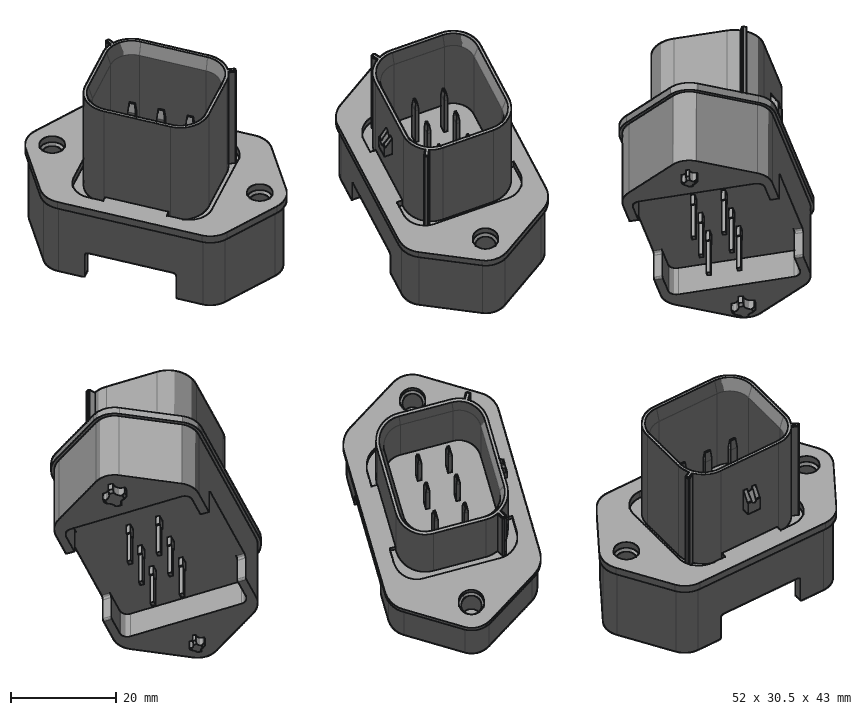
import cadquery as cq

flange_bottom = 16.35
flange_top = 18.0
tower_top = 39.55
pin_bottom = -3.45
pin_top = 30.4

length = 52.05
width = 30.5
corner_radius = 5.0
corner_x = 14.5
base_inset = 0.6
ear_x = length / 2 - corner_radius
corner_y = width / 2 - corner_radius

notch_half_length = 9.15
notch_height = 6.25
notch_top_radius = 0.6
notch_foot_radius = 0.4
side_wall = 1.7
hollow_half_length = 15.1
hollow_corner_radius = 1.55

recess_length = 27.8
recess_width = 24.15
recess_radius = 4.5
recess_depth = 1.65
recess_floor = flange_top - recess_depth
bridge_length = 12.8

tower_length = 24.9
tower_width = 21.85
tower_radius = 5.7
rim_wall = 0.6
lower_wall = 1.45
rim_taper_height = 2.7

rib_angle = 30.0
rib_width = 1.0
rib_reach = 1.5
rib_chamfer = 0.2

latch_length = 2.8
latch_reach = 1.55
latch_ledge = 0.2
latch_bottom = 26.6
latch_ramp_foot = 29.45
latch_ramp_peak = 31.65
latch_groove_radius = 0.55
latch_groove_rise = 0.3

hole_x = 20.85
hole_radius = 2.45
hole_core_radius = 1.9
hole_straight_depth = 1.5
hole_depth = 10.4

peg_height = 2.1
peg_chamfer = 0.5
large_peg_radius = 2.3
large_peg_rib_half_width = 0.45
large_peg_flute_center = 2.05
small_peg_radius = 1.55
small_peg_rib_half_width = 0.3
small_peg_flute_center = 1.3

pin_pitch_x = 5.85
pin_pitch_y = 6.0
pin_width = 1.5
pin_thickness = 0.8
tail_width = 0.95
tail_top = 4.0
tip_height = 2.1
tip_width = 1.15
tip_thickness = 0.3


def hexagon(inset, bottom, top):
    """Elongated hexagonal block with rounded corners, drawn in from the flange outline."""
    centers = [
        (ear_x, 0),
        (corner_x, corner_y),
        (-corner_x, corner_y),
        (-ear_x, 0),
        (-corner_x, -corner_y),
        (corner_x, -corner_y),
    ]
    outline = cq.Workplane("XY", origin=(0, 0, bottom)).polyline(centers).close()
    return outline.offset2D(corner_radius - inset, "arc").extrude(top - bottom)


def rounded_block(size_x, size_y, radius, bottom, top):
    """Block centred on the Z axis with rounded vertical edges."""
    block = cq.Workplane("XY").box(size_x, size_y, top - bottom, centered=(True, True, False))
    return block.edges("|Z").fillet(radius).translate((0, 0, bottom))


def tower_section(wall, height):
    """Rounded rectangle set in from the tower's outer wall by the given thickness."""
    sketch = cq.Sketch().rect(tower_length - 2 * wall, tower_width - 2 * wall)
    return sketch.vertices().fillet(tower_radius - wall).moved(cq.Location(cq.Vector(0, 0, height)))


def make_base():
    base = hexagon(base_inset, 0, flange_bottom).union(hexagon(0, flange_bottom, flange_top))
    hollow_width = width - 2 * base_inset - 2 * side_wall
    base = base.cut(
        rounded_block(2 * hollow_half_length, hollow_width, hollow_corner_radius, 0, notch_height)
    )
    notch = (
        cq.Workplane("XZ")
        .moveTo(-notch_half_length - notch_foot_radius, 0)
        .radiusArc((-notch_half_length, notch_foot_radius), -notch_foot_radius)
        .lineTo(-notch_half_length, notch_height - notch_top_radius)
        .radiusArc((-notch_half_length + notch_top_radius, notch_height), notch_top_radius)
        .lineTo(notch_half_length - notch_top_radius, notch_height)
        .radiusArc((notch_half_length, notch_height - notch_top_radius), notch_top_radius)
        .lineTo(notch_half_length, notch_foot_radius)
        .radiusArc((notch_half_length + notch_foot_radius, 0), -notch_foot_radius)
        .close()
        .extrude(width / 2, both=True)
    )
    return base.cut(notch)


def make_recess():
    recess = rounded_block(recess_length, recess_width, recess_radius, recess_floor, flange_top)
    bridge = cq.Workplane("XY").box(bridge_length, recess_width, 2 * flange_top)
    return recess.cut(bridge)


def make_tower():
    return rounded_block(tower_length, tower_width, tower_radius, recess_floor, tower_top)


def make_cavity():
    """Straight cavity down to the flange, opening out through a tapered rim."""
    taper_bottom = tower_top - rim_taper_height
    lower = cq.Workplane("XY").placeSketch(tower_section(lower_wall, flange_top))
    rim = cq.Workplane("XY").placeSketch(
        tower_section(lower_wall, taper_bottom), tower_section(rim_wall, tower_top)
    )
    return lower.extrude(taper_bottom - flange_top).union(rim.loft())


def make_rib(side):
    """Vertical rib pointing radially out of one rear tower corner; side is -1 or 1."""
    root = tower_radius - rim_wall / 2
    rib_length = tower_radius + rib_reach - root
    rib = (
        cq.Workplane("XY")
        .box(rib_length, rib_width, tower_top - recess_floor, centered=(False, True, False))
        .edges("|Z and >X")
        .chamfer(rib_chamfer)
        .faces(">Z")
        .chamfer(rib_chamfer)
        .translate((root, 0, recess_floor))
    )
    angle = rib_angle if side > 0 else 180 - rib_angle
    center_x = side * (tower_length / 2 - tower_radius)
    center_y = tower_width / 2 - tower_radius
    return rib.rotate((0, 0, 0), (0, 0, 1), angle).translate((center_x, center_y, 0))


def make_latch():
    """Wedge whose ramp ends in a small ledge, with a round groove that grows shallower down it."""
    wall_y = tower_width / 2
    tip_y = wall_y + latch_reach
    ramp_reach = latch_reach - latch_ledge
    profile = [
        (wall_y - rim_wall, latch_bottom),
        (tip_y, latch_bottom),
        (tip_y, latch_ramp_foot),
        (wall_y + ramp_reach, latch_ramp_foot),
        (wall_y, latch_ramp_peak),
        (wall_y - rim_wall, latch_ramp_peak),
    ]
    wedge = cq.Workplane("YZ").polyline(profile).close().extrude(latch_length / 2, both=True)
    groove_end = latch_ramp_foot + latch_groove_rise
    slope = cq.Vector(0, latch_reach, groove_end - latch_ramp_peak)
    start = cq.Vector(0, wall_y, latch_ramp_peak) - slope
    groove = cq.Solid.makeCylinder(latch_groove_radius, 3 * slope.Length, start, slope)
    return wedge.cut(cq.Workplane(obj=groove))


def make_hole(x):
    """Blind hole with a wider mouth, joined by a 45 degree cone."""
    cone_height = hole_radius - hole_core_radius
    profile = [
        (0, flange_top),
        (hole_radius, flange_top),
        (hole_radius, flange_top - hole_straight_depth),
        (hole_core_radius, flange_top - hole_straight_depth - cone_height),
        (hole_core_radius, flange_top - hole_depth),
        (0, flange_top - hole_depth),
    ]
    return cq.Workplane("XZ").polyline(profile).close().revolve().translate((x, 0, 0))


def make_peg(x, radius, rib_half_width, flute_center):
    """Chamfered peg with four straight-edged round flutes that leave a cross of ribs."""
    peg = cq.Workplane("XY").circle(radius).extrude(-peg_height).faces("<Z").chamfer(peg_chamfer)
    flute = (
        cq.Workplane("XY")
        .moveTo(rib_half_width, radius)
        .lineTo(rib_half_width, flute_center)
        .radiusArc((flute_center, rib_half_width), rib_half_width - flute_center)
        .lineTo(radius, rib_half_width)
        .lineTo(radius, radius)
        .close()
        .extrude(-peg_height)
    )
    for quarter in range(4):
        peg = peg.cut(flute.rotate((0, 0, 0), (0, 0, 1), 90 * quarter))
    return peg.translate((x, 0, 0))


def make_pin(x, y):
    """Flat contact: narrow tail below, wide blade above with a tapered tip."""
    shoulder = pin_top - tip_height
    tail = cq.Workplane("XY", origin=(0, 0, pin_bottom)).rect(tail_width, pin_thickness)
    blade = cq.Workplane("XY", origin=(0, 0, tail_top)).rect(pin_width, pin_thickness)
    tip = (
        cq.Workplane("XY", origin=(0, 0, shoulder))
        .rect(pin_width, pin_thickness)
        .workplane(offset=tip_height)
        .rect(tip_width, tip_thickness)
        .loft()
    )
    pin = tail.extrude(tail_top - pin_bottom).union(blade.extrude(shoulder - tail_top)).union(tip)
    return pin.translate((x, y, 0))


result = make_base().cut(make_recess()).union(make_tower())
for side in (-1, 1):
    result = result.union(make_rib(side)).cut(make_hole(side * hole_x))
result = result.union(make_latch()).cut(make_cavity())
result = result.union(
    make_peg(-hole_x, large_peg_radius, large_peg_rib_half_width, large_peg_flute_center)
)
result = result.union(
    make_peg(hole_x, small_peg_radius, small_peg_rib_half_width, small_peg_flute_center)
)
for column in (-1, 0, 1):
    for row in (-0.5, 0.5):
        result = result.union(make_pin(column * pin_pitch_x, row * pin_pitch_y))